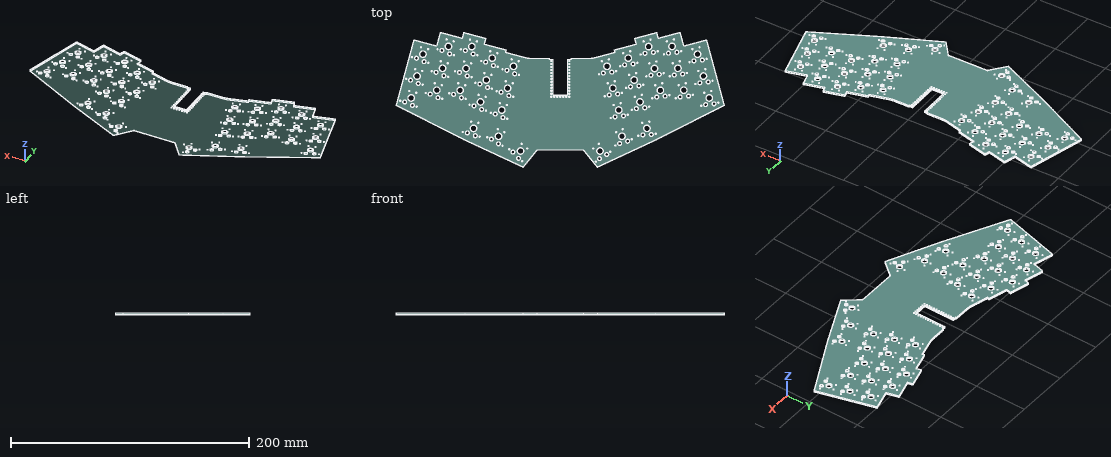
import cadquery as cq
import math

LENGTH = 275.5
WIDTH = 113.3
THICKNESS = 1.6

KEY_PITCH = 19.0
FINGER_TILT = 15.0
FIRST_COLUMN = 45.2
COLUMN_STAGGER = [-2.0, 0, 5.0, 0, -11.9]
ROWS = [-1, 0, 1]
KEY_MARGIN = 9.6
OUTER_MARGIN = 10.5

THUMB_KEYS = [(72.8, -24.0, 11.0), (51.8, -30.5, 25.0), (33.3, -43.0, 39.0)]

STEM_DIAMETER = 5.2
SOCKET_DIAMETER = 3.0
PIN_DIAMETER = 0.8
SOCKET_HOLES = [(-4.5, -4.7), (2.6, -5.8)]
PIN_HOLES = [(-8.3, -4.7), (6.3, -5.8), (-3.0, 5.2), (3.0, 5.2)]

SLOT_HALF_WIDTH = 6.0
SLOT_BOTTOM = 3.9
SLOT_LIP_HALF_WIDTH = 9.0
SLOT_LIP_DROP = 0.8
HEADER_PITCH = 2.5
HEADER_COLUMNS = 7
HEADER_ROWS = 13
HEADER_BOTTOM = 2.5

BACK_EDGE = 34.7
BACK_RADIUS = 27.5
FRONT_EDGE = -42.2
OUTER_CORNER = (LENGTH / 2, -4.7)
FRONT_BEND = (80.0, -34.0)
THUMB_CORNER = (31.1, -WIDTH / 2)


def from_finger_axes(along, across):
    """Turn a position on the tilted finger axes into plate x, y (right half)."""
    tilt = math.radians(FINGER_TILT)
    x = along * math.cos(tilt) - across * math.sin(tilt)
    y = along * math.sin(tilt) + across * math.cos(tilt)
    return x, y


def column_centre(column):
    return FIRST_COLUMN + column * KEY_PITCH


def column_top(column):
    top_key = COLUMN_STAGGER[column] + ROWS[-1] * KEY_PITCH
    return top_key + KEY_MARGIN


def right_half():
    """Plate outline from the mirror line to the outer edge."""
    inner_side_1 = column_centre(1) - KEY_MARGIN
    inner_side_2 = column_centre(2) - KEY_MARGIN
    outer_side_2 = column_centre(2) + KEY_MARGIN
    outer_side_3 = column_centre(3) + KEY_MARGIN
    outer_side_4 = column_centre(4) + OUTER_MARGIN
    steps = [
        (inner_side_1, column_top(0)),
        (inner_side_1, column_top(1)),
        (inner_side_2, column_top(1)),
        (inner_side_2, column_top(2)),
        (outer_side_2, column_top(2)),
        (outer_side_2, column_top(3)),
        (outer_side_3, column_top(3)),
        (outer_side_3, column_top(4)),
        (outer_side_4, column_top(4)),
    ]

    tilt = math.radians(FINGER_TILT)
    bend_x = (BACK_EDGE * math.cos(tilt) - column_top(0)) / math.sin(tilt)
    bend_start = bend_x - BACK_RADIUS * math.tan(tilt / 2)
    bend_middle = (
        bend_start + BACK_RADIUS * math.sin(tilt / 2),
        BACK_EDGE + BACK_RADIUS * (1 - math.cos(tilt / 2)),
    )
    bend_end = (
        bend_start + BACK_RADIUS * math.sin(tilt),
        BACK_EDGE + BACK_RADIUS * (1 - math.cos(tilt)),
    )

    thumb_tilt = math.radians(THUMB_KEYS[-1][2])
    thumb_side_x = THUMB_CORNER[0] - (FRONT_EDGE - THUMB_CORNER[1]) * math.tan(thumb_tilt)

    outline = (
        cq.Workplane("XY")
        .moveTo(0, SLOT_BOTTOM)
        .lineTo(SLOT_HALF_WIDTH, SLOT_BOTTOM)
        .lineTo(SLOT_HALF_WIDTH, BACK_EDGE - SLOT_LIP_DROP)
        .lineTo(SLOT_LIP_HALF_WIDTH, BACK_EDGE - SLOT_LIP_DROP)
        .lineTo(SLOT_LIP_HALF_WIDTH, BACK_EDGE)
        .lineTo(bend_start, BACK_EDGE)
        .threePointArc(bend_middle, bend_end)
    )
    for along, across in steps:
        outline = outline.lineTo(*from_finger_axes(along, across))
    for corner in [OUTER_CORNER, FRONT_BEND, THUMB_CORNER]:
        outline = outline.lineTo(*corner)
    outline = outline.lineTo(thumb_side_x, FRONT_EDGE).lineTo(0, FRONT_EDGE).close()
    return outline.extrude(THICKNESS)


def right_keys():
    """Centre and tilt of every key on the right half."""
    keys = []
    for column, stagger in enumerate(COLUMN_STAGGER):
        for row in ROWS:
            across = stagger + row * KEY_PITCH
            x, y = from_finger_axes(column_centre(column), across)
            keys.append((x, y, FINGER_TILT))
    return keys + THUMB_KEYS


def all_keys():
    """Mirror the key positions; every switch keeps the same, unmirrored hole pattern."""
    keys = right_keys()
    return keys + [(-x, y, -tilt) for x, y, tilt in keys]


def place_on_keys(pattern):
    """Repeat a switch hole pattern on every key."""
    points = []
    for x, y, tilt in all_keys():
        cos_tilt = math.cos(math.radians(tilt))
        sin_tilt = math.sin(math.radians(tilt))
        for px, py in pattern:
            points.append((x + px * cos_tilt - py * sin_tilt, y + px * sin_tilt + py * cos_tilt))
    return points


def header_points():
    """Header pins along both sides and the closed end of the slot."""
    half_span = (HEADER_COLUMNS - 1) / 2 * HEADER_PITCH
    end_row = [(-half_span + i * HEADER_PITCH, HEADER_BOTTOM) for i in range(HEADER_COLUMNS)]
    side_rows = [
        (side * half_span, HEADER_BOTTOM + i * HEADER_PITCH)
        for side in (-1, 1)
        for i in range(1, HEADER_ROWS)
    ]
    return end_row + side_rows


def drill(points, diameter):
    return cq.Workplane("XY").pushPoints(points).circle(diameter / 2).extrude(THICKNESS)


half = right_half()
plate = half.union(half.mirror("YZ"))

result = (
    plate.cut(drill(place_on_keys([(0, 0)]), STEM_DIAMETER))
    .cut(drill(place_on_keys(SOCKET_HOLES), SOCKET_DIAMETER))
    .cut(drill(place_on_keys(PIN_HOLES), PIN_DIAMETER))
    .cut(drill(header_points(), PIN_DIAMETER))
)